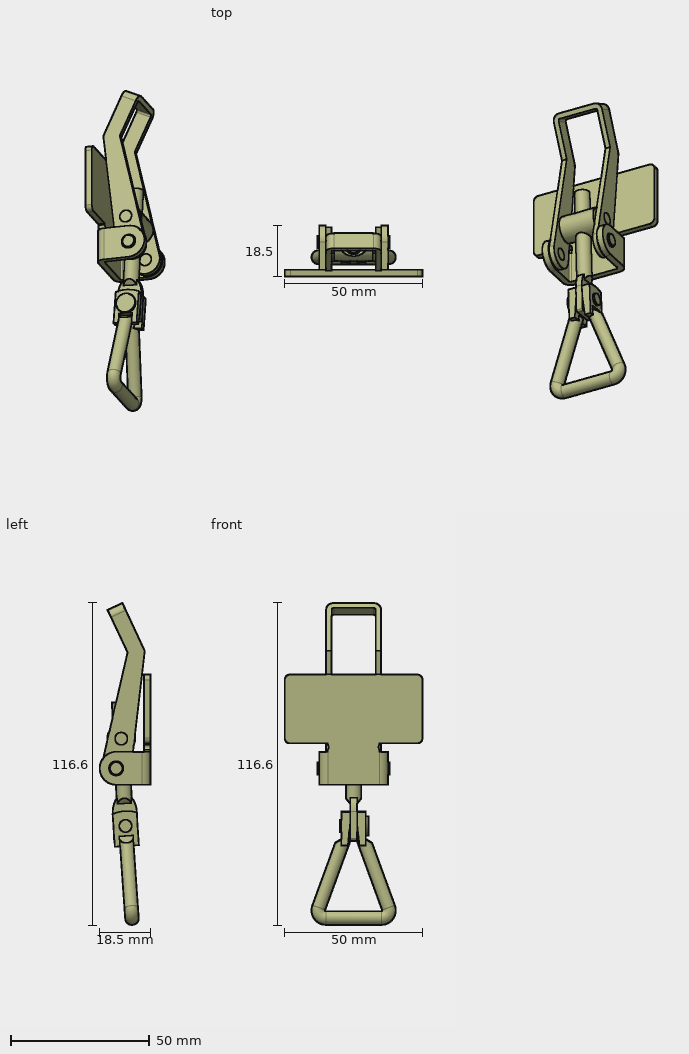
import cadquery as cq
import math


sheet = 2.5
plate_width = 50.0
plate_bottom = 15.0
plate_top = 40.0
plate_corner = 2.0
ears_width = 25.0
ear_height = 12.0
bend_outer = 3.15
bend_inner = bend_outer - sheet
neck_width = ears_width - 2 * bend_outer
relief_radius = 1.3
relief_offset = 10.3
pivot_y = 12.5
pivot_z = ear_height / 2

rivet_diameter = 4.5
rivet_shoulder_diameter = 5.2
rivet_end = 13.1

lever_width = ears_width - 2 * sheet
lever_sheet = 2.0
lever_gap = lever_width - 2 * lever_sheet
lever_corner = 2.8
lever_eye_radius = 5.4
lever_tip_depth = 6.0
lever_tip_length = 19.2
lever_crank_angle = math.radians(25.0)
crank_y = 2.1
crank_z = 48.5
crank_back_y = 8.4
crank_back_z = 48.0

barrel_y = 10.66
barrel_z = 16.75
barrel_radius = 5.1
barrel_length = 14.0
trunnion_diameter = 4.5
countersink_setback = 0.3

rod_tilt = 2.8
rod_radius = 2.8
rod_top = 13.25
rod_shank_end = -21.6
eye_pin_height = -31.65
eye_thickness = 2.5
eye_half_width = 4.4
eye_below_pin = 5.3
eye_bottom_corner = 0.7
eye_shoulder_radius = 8.6
shank_taper = 1.9

ring_tilt = 4.0
wire_radius = 2.5
ring_bend_radius = 2.8
ring_bar_half = 10.0
ring_bar_height = -33.45
ring_arm_angle = math.radians(20.0)
cheek_outer = 4.4
cheek_half_depth = 4.4
cheek_top = 4.6
cheek_crown = 0.8
cheek_bottom = -7.3
cheek_flare_start = 0.8
cheek_flare = 0.85
arm_bevel_inner_z = -4.9
arm_bevel_outer_x = 6.8
arm_bevel_outer_z = -6.2
notch_top = -3.6

ring_pin_diameter = 4.5
ring_pin_end = -5.1
ring_head_diameter = 7.2
ring_head_end = 5.4


def box(x0, x1, y0, y1, z0, z1):
    return cq.Workplane("XY").box(x1 - x0, y1 - y0, z1 - z0, centered=False).translate((x0, y0, z0))


def x_cylinder(diameter, x0, x1, y, z):
    """Cylinder along X from x0 to x1 with its axis at (y, z)."""
    return cq.Workplane("YZ", origin=(x0, y, z)).circle(diameter / 2).extrude(x1 - x0)


def tangent_point(point, centre, radius, side):
    """Where a line from the point touches a circle; side +1 or -1 picks one of the two tangents."""
    dy = point[0] - centre[0]
    dz = point[1] - centre[1]
    angle = math.atan2(dz, dy) + side * math.acos(radius / math.hypot(dy, dz))
    return (centre[0] + radius * math.cos(angle), centre[1] + radius * math.sin(angle))


def place_on_rod(body):
    """Turn a body built along the rod axis into its place on the swivel barrel."""
    return body.rotate((0, 0, 0), (1, 0, 0), -rod_tilt).translate((0, barrel_y, barrel_z))


def place_on_ring_pin(body):
    """Turn a body built about the ring pin into its place on the eye of the rod."""
    tilt = math.radians(rod_tilt)
    pin_y = barrel_y + eye_pin_height * math.sin(tilt)
    pin_z = barrel_z + eye_pin_height * math.cos(tilt)
    return body.rotate((0, 0, 0), (1, 0, 0), -ring_tilt).translate((0, pin_y, pin_z))


def make_base():
    half_plate = plate_width / 2
    half_neck = neck_width / 2
    half_ears = ears_width / 2
    plate = box(-half_plate, half_plate, 0, sheet, plate_bottom, plate_top).edges("|Y").fillet(plate_corner)
    neck = box(-half_neck, half_neck, 0, sheet, 0, plate_bottom)

    ear_back = pivot_y + pivot_z
    channel = box(-half_ears, half_ears, 0, ear_back, 0, ear_height)
    channel = channel.edges("|Z and <Y").fillet(bend_outer)
    inside = box(-lever_width / 2, lever_width / 2, sheet, ear_back, 0, ear_height)
    inside = inside.edges("|Z and <Y").fillet(bend_inner)
    channel = channel.cut(inside)
    side_shape = (
        cq.Workplane("YZ", origin=(-half_ears, 0, 0))
        .lineTo(pivot_y, 0)
        .threePointArc((ear_back, pivot_z), (pivot_y, ear_height))
        .lineTo(0, ear_height)
        .close()
        .extrude(ears_width)
    )
    base = plate.union(neck).union(channel.intersect(side_shape))

    reliefs = (
        cq.Workplane("XZ")
        .pushPoints([(side * relief_offset, plate_bottom - relief_radius) for side in (-1, 1)])
        .circle(relief_radius)
        .extrude(-sheet)
    )
    rivet_holes = x_cylinder(rivet_shoulder_diameter, -half_ears, half_ears, pivot_y, pivot_z)
    return base.cut(reliefs).cut(rivet_holes)


def make_rivet(side):
    """Shouldered rivet: thin through the lever arm, full in the ear, thin where it stands proud."""
    rivet = x_cylinder(rivet_diameter, lever_gap / 2, rivet_end, pivot_y, pivot_z)
    shoulder = x_cylinder(rivet_shoulder_diameter, lever_width / 2, ears_width / 2, pivot_y, pivot_z)
    rivet = rivet.union(shoulder)
    if side < 0:
        rivet = rivet.mirror("YZ")
    return rivet


def make_lever():
    pivot = (pivot_y, pivot_z)
    front_crank = (crank_y, crank_z)
    back_crank = (crank_back_y, crank_back_z)
    along = (math.sin(lever_crank_angle), math.cos(lever_crank_angle))
    front_tip = (crank_y + lever_tip_length * along[0], crank_z + lever_tip_length * along[1])
    back_tip = (front_tip[0] + lever_tip_depth * along[1], front_tip[1] - lever_tip_depth * along[0])
    front_tangent = tangent_point(front_crank, pivot, lever_eye_radius, 1)
    back_tangent = tangent_point(back_crank, pivot, lever_eye_radius, -1)
    side_shape = (
        cq.Workplane("YZ", origin=(-lever_width / 2, 0, 0))
        .moveTo(*front_tangent)
        .lineTo(*front_crank)
        .lineTo(*front_tip)
        .lineTo(*back_tip)
        .lineTo(*back_crank)
        .lineTo(*back_tangent)
        .threePointArc((pivot_y, pivot_z - lever_eye_radius), front_tangent)
        .close()
        .extrude(lever_width)
    )

    def strap_block(width, corner, inset):
        """Block with rounded top corners, square to the cranked end and inset below its tip."""
        reach = 2 * crank_z
        return (
            cq.Workplane("XY")
            .box(width, reach, reach)
            .edges("|Y and >Z")
            .fillet(corner)
            .translate((0, 0, -reach / 2 - inset))
            .rotate((0, 0, 0), (1, 0, 0), -math.degrees(lever_crank_angle))
            .translate((0, *front_tip))
        )

    lever = side_shape.intersect(strap_block(lever_width, lever_corner, 0))
    lever = lever.cut(strap_block(lever_gap, lever_corner - lever_sheet, lever_sheet))
    lever = lever.cut(x_cylinder(rivet_diameter, -lever_width / 2, lever_width / 2, *pivot))
    return lever.cut(x_cylinder(trunnion_diameter, -lever_width / 2, lever_width / 2, barrel_y, barrel_z))


def make_rod_bore():
    """Bore and countersink of the barrel, along the rod axis."""
    cone_low = rod_radius + countersink_setback
    cone_high = barrel_radius + countersink_setback
    bore = cq.Workplane("XY").circle(rod_radius).extrude(barrel_radius * 2, both=True)
    countersink = (
        cq.Workplane("XZ")
        .moveTo(0, cone_low)
        .lineTo(rod_radius, cone_low)
        .lineTo(barrel_radius, cone_high)
        .lineTo(0, cone_high)
        .close()
        .revolve(360, (0, 0), (0, 1))
    )
    return place_on_rod(bore.union(countersink))


def make_barrel():
    barrel = x_cylinder(2 * barrel_radius, -barrel_length / 2, barrel_length / 2, barrel_y, barrel_z)
    trunnions = x_cylinder(trunnion_diameter, -lever_width / 2, lever_width / 2, barrel_y, barrel_z)
    return barrel.union(trunnions).cut(make_rod_bore())


def make_eye_rod():
    taper_end = rod_shank_end - shank_taper
    shank = cq.Workplane("XY", origin=(0, 0, taper_end)).circle(rod_radius).extrude(rod_top - taper_end)
    half_eye = eye_thickness / 2
    for side in (-1, 1):
        wedge = (
            cq.Workplane("XZ", origin=(0, rod_radius, 0))
            .moveTo(side * rod_radius, rod_shank_end)
            .lineTo(side * half_eye, taper_end)
            .lineTo(side * rod_radius, taper_end)
            .close()
            .extrude(2 * rod_radius)
        )
        shank = shank.cut(wedge)

    narrowing = eye_half_width - rod_radius
    shoulder_height = math.sqrt(eye_shoulder_radius**2 - (eye_shoulder_radius - narrowing) ** 2)
    shoulder_z = rod_shank_end - shoulder_height
    eye_bottom = eye_pin_height - eye_below_pin
    eye = (
        cq.Workplane("YZ", origin=(-half_eye, 0, 0))
        .moveTo(-eye_half_width, eye_bottom)
        .lineTo(eye_half_width, eye_bottom)
        .lineTo(eye_half_width, shoulder_z)
        .radiusArc((rod_radius, rod_shank_end), -eye_shoulder_radius)
        .lineTo(-rod_radius, rod_shank_end)
        .radiusArc((-eye_half_width, shoulder_z), -eye_shoulder_radius)
        .close()
        .extrude(eye_thickness)
        .edges("|X and <Z")
        .fillet(eye_bottom_corner)
    )
    pin_hole = x_cylinder(ring_pin_diameter, -half_eye, half_eye, 0, eye_pin_height)
    return place_on_rod(shank.union(eye).cut(pin_hole))


def make_cheek(side):
    """Fork cheek with a crowned top, whose inner face flares outwards towards the bottom."""
    inner = eye_thickness / 2
    width_shape = (
        cq.Workplane("XZ", origin=(0, cheek_half_depth, 0))
        .moveTo(side * cheek_outer, cheek_bottom)
        .lineTo(side * cheek_outer, cheek_top + cheek_crown)
        .lineTo(side * inner, cheek_top + cheek_crown)
        .lineTo(side * inner, cheek_flare_start)
        .lineTo(side * (inner + cheek_flare), cheek_bottom)
        .close()
        .extrude(2 * cheek_half_depth)
    )
    depth_shape = (
        cq.Workplane("YZ", origin=(-cheek_outer, 0, 0))
        .moveTo(-cheek_half_depth, cheek_bottom)
        .lineTo(cheek_half_depth, cheek_bottom)
        .lineTo(cheek_half_depth, cheek_top)
        .threePointArc((0, cheek_top + cheek_crown), (-cheek_half_depth, cheek_top))
        .close()
        .extrude(2 * cheek_outer)
    )
    return width_shape.intersect(depth_shape)


def make_wire():
    """Round wire bent to an open triangle whose ends run into the cheeks."""
    bend_z = ring_bar_height + ring_bend_radius
    arm_x = ring_bar_half + ring_bend_radius * math.cos(ring_arm_angle)
    arm_z = bend_z + ring_bend_radius * math.sin(ring_arm_angle)
    end_z = arm_bevel_inner_z
    end_x = arm_x - (end_z - arm_z) * math.tan(ring_arm_angle)
    half_turn = (math.pi / 2 + ring_arm_angle) / 2
    mid_x = ring_bar_half + ring_bend_radius * math.sin(half_turn)
    mid_z = bend_z - ring_bend_radius * math.cos(half_turn)
    path = (
        cq.Workplane("XZ")
        .moveTo(-end_x, end_z)
        .lineTo(-arm_x, arm_z)
        .threePointArc((-mid_x, mid_z), (-ring_bar_half, ring_bar_height))
        .lineTo(ring_bar_half, ring_bar_height)
        .threePointArc((mid_x, mid_z), (arm_x, arm_z))
        .lineTo(end_x, end_z)
    )
    start = cq.Plane(
        origin=(-end_x, 0, end_z),
        xDir=(0, 1, 0),
        normal=(-math.sin(ring_arm_angle), 0, -math.cos(ring_arm_angle)),
    )
    return cq.Workplane(start).circle(wire_radius).sweep(path)


def make_bevel_cut(side):
    """Sloping cut that bevels a wire end and runs on into the cheek as a notch as wide as the wire."""
    bevel_slope = (arm_bevel_outer_z - arm_bevel_inner_z) / (arm_bevel_outer_x - cheek_outer)
    notch_x = cheek_outer + (notch_top - arm_bevel_inner_z) / bevel_slope
    return (
        cq.Workplane("XZ", origin=(0, wire_radius, 0))
        .moveTo(side * notch_x, notch_top)
        .lineTo(side * arm_bevel_outer_x, arm_bevel_outer_z)
        .lineTo(side * ring_bar_half, arm_bevel_outer_z)
        .lineTo(side * ring_bar_half, notch_top)
        .close()
        .extrude(2 * wire_radius)
    )


def make_ring():
    ring = make_wire()
    for side in (-1, 1):
        ring = ring.union(make_cheek(side))
    for side in (-1, 1):
        ring = ring.cut(make_bevel_cut(side))
    pin_hole = x_cylinder(ring_pin_diameter, -cheek_outer, cheek_outer, 0, 0)
    return place_on_ring_pin(ring.cut(pin_hole))


def make_ring_pin():
    pin = x_cylinder(ring_pin_diameter, ring_pin_end, cheek_outer, 0, 0)
    head = x_cylinder(ring_head_diameter, cheek_outer, ring_head_end, 0, 0)
    return place_on_ring_pin(pin.union(head))


base = make_base()
rivets = [make_rivet(side) for side in (-1, 1)]
lever = make_lever()
barrel = make_barrel()
eye_rod = make_eye_rod()
ring = make_ring()
ring_pin = make_ring_pin()

result = cq.Compound.makeCompound(
    [
        base.val(),
        *[rivet.val() for rivet in rivets],
        lever.val(),
        barrel.val(),
        eye_rod.val(),
        ring.val(),
        ring_pin.val(),
    ]
)